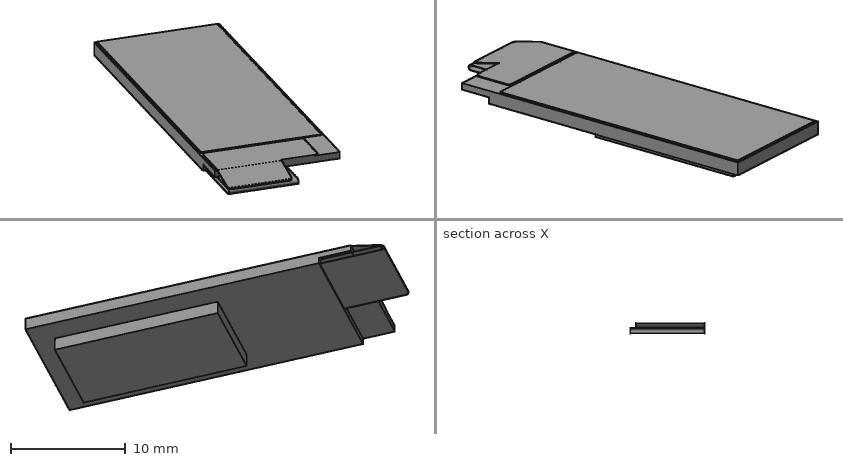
import cadquery as cq

LENGTH = 33.0
PANEL_LENGTH = 30.0
WIDTH = 11.6
TOTAL_HEIGHT = 2.6
FILM_THICKNESS = 0.1
PANEL_TOP = TOTAL_HEIGHT - FILM_THICKNESS

BLOCK_HEIGHT = 1.3
BLOCK_START = 2.0
BLOCK_LENGTH = 15.0
BLOCK_SIDE_MARGIN = 2.0
BLOCK_WIDTH = WIDTH - 2 * BLOCK_SIDE_MARGIN

LEDGE_START = 27.05
LEDGE_HEIGHT = 1.88

SIDE_MARGIN = 0.2
FILM_START = 0.15
FILM_END = 26.0

FLEX_THICKNESS = 0.05
FLEX_WIDTH = 6.47
FLEX_BOTTOM = 1.35
BEND_RADIUS = (LEDGE_HEIGHT - FLEX_BOTTOM) / 2
BEND_START = LENGTH - BEND_RADIUS

TAPE_THICKNESS = FILM_THICKNESS
TAPE_START = 26.3
TAPE_WIDTH = 9.45
TONGUE_END = 32.9
TONGUE_WIDTH = 5.97
TAPE_CORNER_RADIUS = 0.33


def box_between(x_start, x_end, y_start, width, z_start, z_end):
    """Box given by its X and Z limits and its Y start and width."""
    return cq.Workplane("XY").box(
        x_end - x_start, width, z_end - z_start, centered=False
    ).translate((x_start, y_start, z_start))


def make_panel():
    """Flat plate, thinner over the ledge."""
    plate = box_between(0, PANEL_LENGTH, 0, WIDTH, BLOCK_HEIGHT, PANEL_TOP)
    ledge = box_between(LEDGE_START, PANEL_LENGTH, 0, WIDTH, BLOCK_HEIGHT, LEDGE_HEIGHT)
    return plate.cut(ledge)


def make_film():
    """Thin rectangular film on top of the panel."""
    film_width = WIDTH - 2 * SIDE_MARGIN
    return box_between(FILM_START, FILM_END, SIDE_MARGIN, film_width, PANEL_TOP, TOTAL_HEIGHT)


def bent_outline(radius):
    """Solid U shape around the bend axis, later hollowed to leave the strip."""
    axis_height = FLEX_BOTTOM + BEND_RADIUS
    return (
        cq.Workplane("XZ", origin=(0, SIDE_MARGIN, 0))
        .moveTo(LEDGE_START, axis_height - radius)
        .lineTo(BEND_START, axis_height - radius)
        .threePointArc((BEND_START + radius, axis_height), (BEND_START, axis_height + radius))
        .lineTo(LEDGE_START, axis_height + radius)
        .close()
        .extrude(-FLEX_WIDTH)
    )


def make_flex():
    """Strip running out under the ledge and folded back to the ledge wall."""
    return bent_outline(BEND_RADIUS).cut(bent_outline(BEND_RADIUS - FLEX_THICKNESS))


def make_tape():
    """Tape lying on the panel, with a tongue sloping down onto the bend."""
    tape_top = PANEL_TOP + TAPE_THICKNESS
    contact_height = LEDGE_HEIGHT - FLEX_THICKNESS / 2
    slope = (PANEL_TOP - contact_height) / (BEND_START - PANEL_LENGTH)
    drop = slope * (TONGUE_END - PANEL_LENGTH)
    sheet = (
        cq.Workplane("XZ", origin=(0, SIDE_MARGIN, 0))
        .moveTo(TAPE_START, PANEL_TOP)
        .lineTo(PANEL_LENGTH, PANEL_TOP)
        .lineTo(TONGUE_END, PANEL_TOP - drop)
        .lineTo(TONGUE_END, tape_top - drop)
        .lineTo(PANEL_LENGTH, tape_top)
        .lineTo(TAPE_START, tape_top)
        .close()
        .extrude(-TAPE_WIDTH)
    )
    flat_plan = box_between(
        TAPE_START, PANEL_LENGTH, SIDE_MARGIN, TAPE_WIDTH, 0, TOTAL_HEIGHT
    ).edges("|Z and (<X or >Y)").fillet(TAPE_CORNER_RADIUS)
    tongue_plan = box_between(
        PANEL_LENGTH, TONGUE_END, SIDE_MARGIN, TONGUE_WIDTH, 0, TOTAL_HEIGHT
    ).edges("|Z and >X").fillet(TAPE_CORNER_RADIUS)
    return sheet.intersect(flat_plan.union(tongue_plan))


def make_display():
    """Panel with its film, flexible strip and cover tape."""
    return make_panel().union(make_film()).union(make_flex()).union(make_tape())


def make_block():
    """Rectangular block against the underside of the panel."""
    block_end = BLOCK_START + BLOCK_LENGTH
    return box_between(BLOCK_START, block_end, BLOCK_SIDE_MARGIN, BLOCK_WIDTH, 0, BLOCK_HEIGHT)


display = make_display()
block = make_block()
result = cq.Compound.makeCompound([display.solids().val(), block.val()])